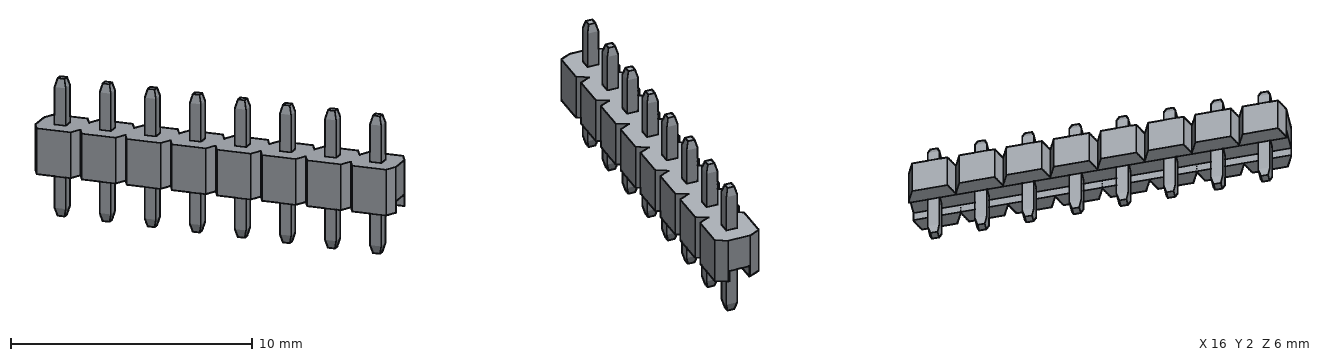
import cadquery as cq

pin_count = 8
row_length = 16.0
pitch = row_length / pin_count
grid_step = pitch / 8

body_width = pitch
body_height = pitch
notch_depth = 2 * grid_step
notch_half_width = grid_step
channel_width = 0.9
channel_height = 2 * grid_step

pin_length = 3 * body_height
pin_width = 2 * grid_step
tip_length = 0.37
tip_width = 0.3


def make_cell(x_center):
    """One octagonal cell; neighbouring cells leave V notches between them."""
    side_x = pitch / 2
    flat_x = side_x - notch_half_width
    outer_y = body_width / 2
    waist_y = outer_y - notch_depth
    outline = [
        (-side_x, -waist_y),
        (-flat_x, -outer_y),
        (flat_x, -outer_y),
        (side_x, -waist_y),
        (side_x, waist_y),
        (flat_x, outer_y),
        (-flat_x, outer_y),
        (-side_x, waist_y),
    ]
    cell = cq.Workplane("XY").polyline(outline).close().extrude(body_height)
    return cell.translate((x_center, 0, -body_height / 2))


def make_channel():
    """Straight channel along the underside, open at both ends."""
    channel = cq.Workplane("XY").box(
        row_length, channel_width, channel_height, centered=(True, True, False)
    )
    return channel.translate((0, 0, -body_height / 2))


def make_tip():
    """Tapered upper end of a pin."""
    return (
        cq.Workplane("XY", origin=(0, 0, pin_length / 2 - tip_length))
        .rect(pin_width, pin_width)
        .workplane(offset=tip_length)
        .rect(tip_width, tip_width)
        .loft()
    )


def make_pin(x_center):
    """Square pin with the same taper at both ends."""
    shank = cq.Workplane("XY").box(pin_width, pin_width, pin_length - 2 * tip_length)
    tip = make_tip()
    pin = shank.union(tip).union(tip.mirror("XY"))
    return pin.translate((x_center, 0, 0))


pin_positions = [(i - (pin_count - 1) / 2) * pitch for i in range(pin_count)]

body = make_cell(pin_positions[0])
for x in pin_positions[1:]:
    body = body.union(make_cell(x))
body = body.clean().cut(make_channel())

result = body
for x in pin_positions:
    result = result.union(make_pin(x))